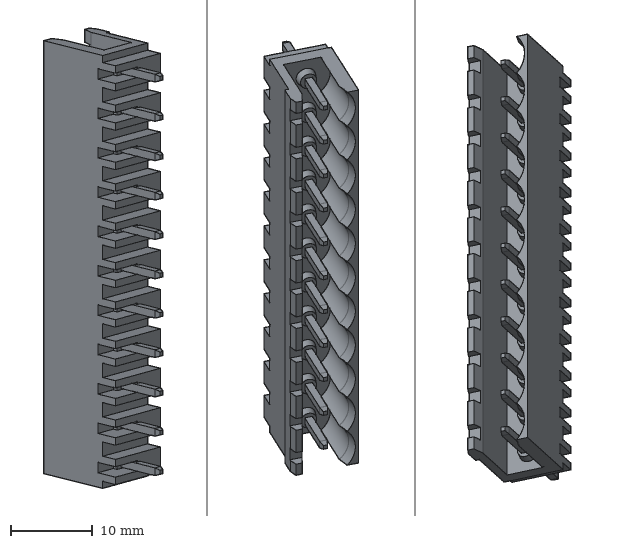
import cadquery as cq

pin_count = 11
length = 55.0
pitch = length / pin_count
pin_heights = [pitch * (index + 0.5) for index in range(pin_count)]

housing_depth = 12.15
housing_height = 8.05
back_wall_start = 8.35
lower_wall_top = 2.0
upper_wall_bottom = 6.8

latch_height = 8.5
latch_length = 3.0
latch_tip_top = 8.15
latch_tip_bottom = 7.3
latch_ramp = 1.0
mouth_depth = 1.55
mouth_flare = 0.5
latch_notch_width = 1.7
latch_notch_depth = 1.15

foot_width = 3.2
foot_start = 10.0

slot_width = 1.3
slot_start = 9.2
slot_shallow_depth = 2.75
slot_step = 9.85

pin_y = 3.9
pin_width = 1.0
pin_tip_width = 0.55
front_taper = 0.7
rear_taper = 0.6
pin_start = 1.15
pin_end = 16.2
collar_start = 7.35
collar_base_radius = 1.25
collar_tip_radius = 1.05

socket_radius = ((pin_y - lower_wall_top) ** 2 + (pitch / 2) ** 2) ** 0.5
socket_mouth_radius = ((pin_y - lower_wall_top + mouth_flare) ** 2 + (pitch / 2) ** 2) ** 0.5


def box(x_range, y_range, z_range):
    """Box spanning the given (start, end) pairs."""
    spans = [end - start for start, end in (x_range, y_range, z_range)]
    corner = (x_range[0], y_range[0], z_range[0])
    return cq.Workplane("XY").box(*spans, centered=False).translate(corner)


def around(center, width):
    """Range of the given width centred on a position."""
    return (center - width / 2, center + width / 2)


def axis_plane(x, z):
    """Plane across the pin axis, facing +X."""
    return cq.Workplane(cq.Plane(origin=(x, pin_y, z), xDir=(0, 1, 0), normal=(1, 0, 0)))


def housing_blank():
    """Extruded U profile with the latch rail; the lower wall is still plain."""
    profile = [
        (0, 0),
        (housing_depth, 0),
        (housing_depth, housing_height),
        (latch_length, housing_height),
        (latch_length, latch_height),
        (latch_ramp, latch_height),
        (0, latch_tip_top),
        (0, latch_tip_bottom),
        (mouth_depth, upper_wall_bottom),
        (back_wall_start, upper_wall_bottom),
        (back_wall_start, lower_wall_top),
        (0, lower_wall_top),
    ]
    return cq.Workplane("XY").polyline(profile).close().extrude(length)


def socket(z):
    """Round bore with a flared mouth, limited to the half below the pin axis."""
    bore = axis_plane(0, z).circle(socket_radius).extrude(back_wall_start)
    flare = (
        axis_plane(0, z).circle(socket_mouth_radius)
        .workplane(offset=mouth_depth).circle(socket_radius).loft(ruled=True)
    )
    lower_half = box((0, back_wall_start), (0, pin_y), around(z, pitch))
    return bore.union(flare).intersect(lower_half)


def latch_notch(z):
    """Notch through the latch lip in line with a pin."""
    return box((0, latch_notch_depth), (upper_wall_bottom, latch_height), around(z, latch_notch_width))


def pin_slot(z):
    """Stepped slot from the flat side down to the pin."""
    shallow = box((slot_start, housing_depth), (0, slot_shallow_depth), around(z, slot_width))
    deep = box((slot_step, housing_depth), (0, pin_y), around(z, slot_width))
    return shallow.union(deep)


def foot_gap(z):
    """Space between neighbouring feet, centred on a pitch boundary."""
    return box((foot_start, housing_depth), (0, housing_height), around(z, pitch - foot_width))


def pin(z):
    """Square pin with tapered ends and its collar."""
    front_tip = (
        axis_plane(pin_start, z).rect(pin_tip_width, pin_tip_width)
        .workplane(offset=front_taper).rect(pin_width, pin_width).loft(ruled=True)
    )
    shank_length = pin_end - pin_start - front_taper - rear_taper
    shank = axis_plane(pin_start + front_taper, z).rect(pin_width, pin_width).extrude(shank_length)
    rear_tip = (
        axis_plane(pin_end - rear_taper, z).rect(pin_width, pin_width)
        .workplane(offset=rear_taper).rect(pin_tip_width, pin_tip_width).loft(ruled=True)
    )
    collar = (
        axis_plane(collar_start, z).circle(collar_tip_radius)
        .workplane(offset=back_wall_start - collar_start).circle(collar_base_radius).loft(ruled=True)
    )
    return shank.union(front_tip).union(rear_tip).union(collar)


result = housing_blank()

for boundary in range(pin_count + 1):
    result = result.cut(foot_gap(boundary * pitch))

for height in pin_heights:
    result = result.cut(socket(height)).cut(latch_notch(height)).cut(pin_slot(height))

for height in pin_heights:
    result = result.union(pin(height))